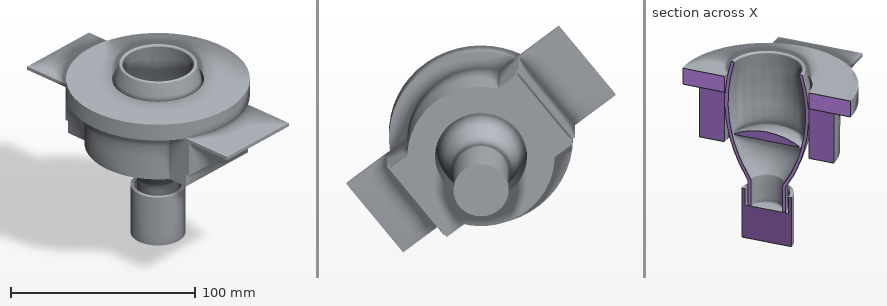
import cadquery as cq
import math


overall_length = 146.6
flange_diameter = 100.0
flange_thickness = 10.0
bore_diameter = flange_diameter / 2
housing_diameter = 80.0
housing_height = 30.0
lug_width = bore_diameter
lug_face_x = math.sqrt(flange_diameter**2 - lug_width**2) / 2

bracket_thickness = 2.0
bracket_leg_height = 22.6
bracket_arm_length = overall_length / 2 - lug_face_x

reflector_wall = 2.0
barrel_arc_radius = 81.7
barrel_widest_z = -15.0
rim_top_z = 10.0
neck_radius = 11.3
neck_fillet = 2.3
arc_center_r = bore_diameter / 2 - barrel_arc_radius

lens_sphere_radius = 40.0
lens_base_z = -34.5

socket_diameter = 29.9
socket_height = 30.0
socket_top_z = -65.8
socket_wall = 2.0
socket_recess_depth = 10.0

flange_bottom_z = -flange_thickness


def barrel_radius(z, wall=0.0):
    """Radius of the barrel arc at height z, measured a wall thickness inside the outer face."""
    arc_radius = barrel_arc_radius - wall
    return arc_center_r + math.sqrt(arc_radius**2 - (z - barrel_widest_z) ** 2)


def barrel_z_below_widest(radius, wall=0.0):
    """Height below the widest point where the barrel arc has the given radius."""
    arc_radius = barrel_arc_radius - wall
    return barrel_widest_z - math.sqrt(arc_radius**2 - (radius - arc_center_r) ** 2)


def make_ring(outer_diameter, top_z, height):
    """Round ring around the common bore, reaching down from top_z."""
    return (
        cq.Workplane("XY", origin=(0, 0, top_z))
        .circle(outer_diameter / 2)
        .circle(bore_diameter / 2)
        .extrude(-height)
    )


def make_lug(side):
    """Block between the housing wall and the flange-edge chord, on the -X or +X side."""
    block = (
        cq.Workplane("XY", origin=(side * lug_face_x / 2, 0, flange_bottom_z))
        .rect(lug_face_x, lug_width)
        .extrude(-housing_height)
    )
    housing_envelope = (
        cq.Workplane("XY", origin=(0, 0, flange_bottom_z))
        .circle(housing_diameter / 2)
        .extrude(-housing_height)
    )
    return block.cut(housing_envelope)


def make_bracket(side):
    """L-shaped sheet: a leg against the lug face and an arm reaching outwards under the flange."""
    leg_outer_x = lug_face_x + bracket_thickness
    tip_x = lug_face_x + bracket_arm_length
    arm_bottom_z = flange_bottom_z - bracket_thickness
    leg_bottom_z = flange_bottom_z - bracket_leg_height
    return (
        cq.Workplane("XZ", origin=(0, lug_width / 2, 0))
        .moveTo(side * lug_face_x, flange_bottom_z)
        .lineTo(side * tip_x, flange_bottom_z)
        .lineTo(side * tip_x, arm_bottom_z)
        .lineTo(side * leg_outer_x, arm_bottom_z)
        .lineTo(side * leg_outer_x, leg_bottom_z)
        .lineTo(side * lug_face_x, leg_bottom_z)
        .close()
        .extrude(lug_width)
    )


def make_reflector():
    """Open barrel-shaped shell with a fully rounded rim, narrowing to a tube that enters the socket."""
    widest_radius = bore_diameter / 2
    neck_inner_radius = neck_radius - reflector_wall
    neck_top_z = barrel_z_below_widest(neck_radius)
    neck_inner_top_z = barrel_z_below_widest(neck_inner_radius, reflector_wall)
    neck_bottom_z = socket_top_z - socket_recess_depth
    rim_base_z = rim_top_z - reflector_wall / 2
    rim_outer = (barrel_radius(rim_base_z), rim_base_z)
    rim_inner = (barrel_radius(rim_base_z, reflector_wall), rim_base_z)
    rim_top = ((rim_outer[0] + rim_inner[0]) / 2, rim_top_z)
    shell = (
        cq.Workplane("XZ")
        .moveTo(*rim_outer)
        .threePointArc((widest_radius, barrel_widest_z), (neck_radius, neck_top_z))
        .lineTo(neck_radius, neck_bottom_z)
        .lineTo(neck_inner_radius, neck_bottom_z)
        .lineTo(neck_inner_radius, neck_inner_top_z)
        .threePointArc((widest_radius - reflector_wall, barrel_widest_z), rim_inner)
        .threePointArc(rim_top, rim_outer)
        .close()
        .revolve(360, (0, 0, 0), (0, 1, 0))
    )
    neck_edge = cq.selectors.NearestToPointSelector((0, 0, neck_top_z))
    return shell.edges(neck_edge).fillet(neck_fillet)


def make_lens():
    """Spherical cap whose flat base spans the inside of the reflector."""
    base_radius = barrel_radius(lens_base_z, reflector_wall)
    sphere_center_z = lens_base_z - math.sqrt(lens_sphere_radius**2 - base_radius**2)
    half_angle = math.asin(base_radius / lens_sphere_radius) / 2
    arc_middle = (
        lens_sphere_radius * math.sin(half_angle),
        sphere_center_z + lens_sphere_radius * math.cos(half_angle),
    )
    return (
        cq.Workplane("XZ")
        .moveTo(0, lens_base_z)
        .lineTo(base_radius, lens_base_z)
        .threePointArc(arc_middle, (0, sphere_center_z + lens_sphere_radius))
        .close()
        .revolve(360, (0, 0, 0), (0, 1, 0))
    )


def make_socket():
    """Cylinder with a recess in its top, on whose floor the reflector neck stands."""
    return (
        cq.Workplane("XY", origin=(0, 0, socket_top_z))
        .circle(socket_diameter / 2)
        .extrude(-socket_height)
        .faces(">Z")
        .workplane()
        .circle(socket_diameter / 2 - socket_wall)
        .cutBlind(-socket_recess_depth)
    )


flange = make_ring(flange_diameter, 0, flange_thickness)
housing = make_ring(housing_diameter, flange_bottom_z, housing_height)
lugs = [make_lug(side) for side in (-1, 1)]
brackets = [make_bracket(side) for side in (-1, 1)]
reflector = make_reflector()
lens = make_lens()
socket = make_socket()

result = cq.Compound.makeCompound(
    [
        flange.val(),
        housing.val(),
        *[lug.val() for lug in lugs],
        *[bracket.val() for bracket in brackets],
        reflector.val(),
        lens.val(),
        socket.val(),
    ]
)